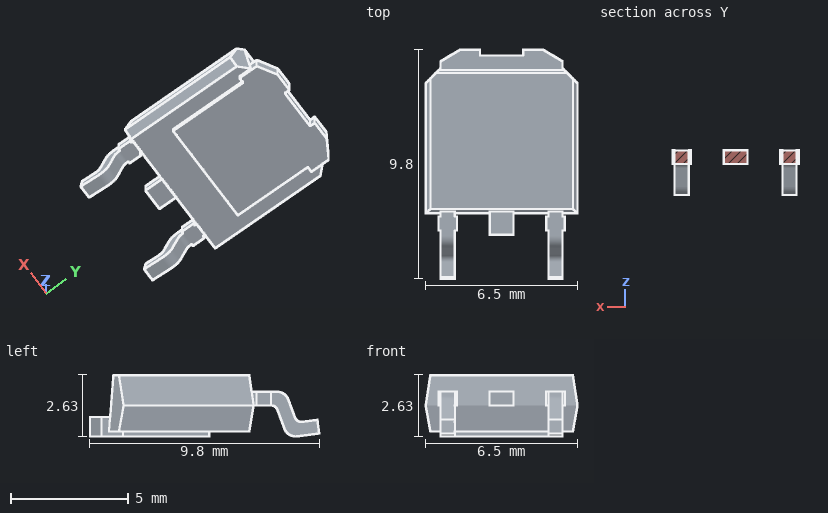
import cadquery as cq
import math

TOTAL_LENGTH = 9.8
TOTAL_HEIGHT = 2.63

BODY_WIDTH = 6.5
FACE_WIDTH = 6.1
BODY_BOTTOM = 0.22
PARTING_HEIGHT = 1.32
BODY_FRONT = 2.8
FRONT_DRAFT = 0.19
BACK_BOTTOM = 8.99
BACK_TOP = 8.8
CORNER_START = 8.36

TAB_WIDTH = 5.22
TAB_THICKNESS = 0.84
TAB_FLAT_WIDTH = 3.55
TAB_CORNER_LENGTH = 0.5
NOTCH_WIDTH = 1.83
NOTCH_DEPTH = 0.245
TAB_FRONT = 8.39
PAD_WIDTH = 4.7
PAD_FRONT = 4.69

LEAD_SPACING = 4.61
LEAD_WIDTH = 0.62
LEAD_THICKNESS = 0.6
LEAD_ROOT = 3.43
SHOULDER_WIDTH = 0.8
SHOULDER_FRONT = 2.07
SHOULDER_BACK = 2.68
BEND_Y = 1.86
LEG_ANGLE = math.radians(69.5)
FOOT_ANGLE = math.radians(7.5)
INNER_RADIUS = 0.27
OUTER_RADIUS = 0.52
STUB_WIDTH = 1.03
STUB_FRONT = 1.89


def block(width, y_front, y_back, z_bottom, height, x_center=0):
    """Box centred on x_center, placed by its front, back and bottom."""
    return cq.Workplane("XY").box(width, y_back - y_front, height, centered=(True, False, False)).translate(
        (x_center, y_front, z_bottom)
    )


def make_body():
    """Drafted body: common volume of its three outlines."""
    half_width = BODY_WIDTH / 2
    half_face = FACE_WIDTH / 2
    end_outline = [
        (-half_face, BODY_BOTTOM),
        (half_face, BODY_BOTTOM),
        (half_width, PARTING_HEIGHT),
        (half_face, TOTAL_HEIGHT),
        (-half_face, TOTAL_HEIGHT),
        (-half_width, PARTING_HEIGHT),
    ]
    side_outline = [
        (BODY_FRONT + FRONT_DRAFT, BODY_BOTTOM),
        (BACK_BOTTOM, BODY_BOTTOM),
        (BACK_TOP, TOTAL_HEIGHT),
        (BODY_FRONT + FRONT_DRAFT, TOTAL_HEIGHT),
        (BODY_FRONT, PARTING_HEIGHT),
    ]
    corner = BACK_BOTTOM - CORNER_START
    plan_outline = [
        (-half_width, BODY_FRONT),
        (half_width, BODY_FRONT),
        (half_width, CORNER_START),
        (half_width - corner, BACK_BOTTOM),
        (-half_width + corner, BACK_BOTTOM),
        (-half_width, CORNER_START),
    ]
    lengthwise = cq.Workplane("XZ").polyline(end_outline).close().extrude(-TOTAL_LENGTH)
    crosswise = cq.Workplane("YZ").polyline(side_outline).close().extrude(half_width, both=True)
    upright = cq.Workplane("XY").polyline(plan_outline).close().extrude(TOTAL_HEIGHT)
    return lengthwise.intersect(crosswise).intersect(upright)


def make_tab():
    """Notched heat tab with the exposed pad under the body."""
    tab_outline = [
        (-TAB_WIDTH / 2, TAB_FRONT),
        (TAB_WIDTH / 2, TAB_FRONT),
        (TAB_WIDTH / 2, TOTAL_LENGTH - TAB_CORNER_LENGTH),
        (TAB_FLAT_WIDTH / 2, TOTAL_LENGTH),
        (-TAB_FLAT_WIDTH / 2, TOTAL_LENGTH),
        (-TAB_WIDTH / 2, TOTAL_LENGTH - TAB_CORNER_LENGTH),
    ]
    tab = cq.Workplane("XY").polyline(tab_outline).close().extrude(TAB_THICKNESS)
    notch = block(NOTCH_WIDTH, TOTAL_LENGTH - NOTCH_DEPTH, TOTAL_LENGTH, 0, TAB_THICKNESS)
    pad = block(PAD_WIDTH, PAD_FRONT, TAB_FRONT, 0, TAB_THICKNESS)
    return tab.cut(notch).union(pad)


def make_lead(x_center):
    """Gull-wing lead of constant thickness with a wider shoulder at the body."""
    foot_turn = LEG_ANGLE + FOOT_ANGLE

    bisector = (math.pi - FOOT_ANGLE + LEG_ANGLE) / 2
    heel_z = OUTER_RADIUS * (1 - math.sin(bisector) / math.cos(foot_turn / 2))
    heel_y = BEND_Y - (PARTING_HEIGHT - heel_z) / math.tan(LEG_ANGLE)
    tip_z = heel_z + heel_y * math.tan(FOOT_ANGLE)

    top_z = PARTING_HEIGHT + LEAD_THICKNESS
    knee_y = BEND_Y - LEAD_THICKNESS * math.tan(LEG_ANGLE / 2)
    normal_y = LEAD_THICKNESS * math.sin(FOOT_ANGLE)
    normal_z = LEAD_THICKNESS * math.cos(FOOT_ANGLE)
    miter = LEAD_THICKNESS * math.tan(foot_turn / 2)
    instep_y = heel_y + normal_y - miter * math.cos(FOOT_ANGLE)
    instep_z = heel_z + normal_z + miter * math.sin(FOOT_ANGLE)

    outline = [
        (LEAD_ROOT, PARTING_HEIGHT),
        (BEND_Y, PARTING_HEIGHT),
        (heel_y, heel_z),
        (0, tip_z),
        (normal_y, tip_z + normal_z),
        (instep_y, instep_z),
        (knee_y, top_z),
        (LEAD_ROOT, top_z),
    ]
    bends = [
        (BEND_Y, PARTING_HEIGHT, INNER_RADIUS),
        (heel_y, heel_z, OUTER_RADIUS),
        (instep_y, instep_z, INNER_RADIUS),
        (knee_y, top_z, OUTER_RADIUS),
    ]
    lead = cq.Workplane("YZ").polyline(outline).close().extrude(LEAD_WIDTH / 2, both=True)
    for y, z, radius in bends:
        lead = lead.edges(cq.NearestToPointSelector((0, y, z))).fillet(radius)
    lead = lead.translate((x_center, 0, 0))
    shoulder = block(
        SHOULDER_WIDTH, SHOULDER_FRONT, SHOULDER_BACK, PARTING_HEIGHT, LEAD_THICKNESS, x_center
    )
    return lead.union(shoulder)


result = make_body().union(make_tab())
for side in (-1, 1):
    result = result.union(make_lead(side * LEAD_SPACING / 2))

result = result.union(block(STUB_WIDTH, STUB_FRONT, LEAD_ROOT, PARTING_HEIGHT, LEAD_THICKNESS))